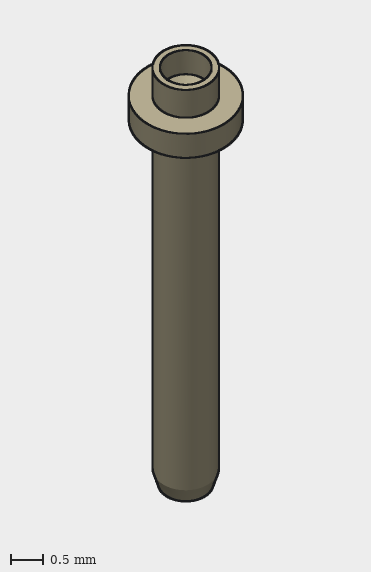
import cadquery as cq
import math

pin_length = 8.71
shaft_diameter = 1.04
shaft_radius = shaft_diameter / 2

flange_radius = 0.89
flange_thickness = 0.505
collar_height = 0.58
flange_top = pin_length - collar_height
flange_bottom = flange_top - flange_thickness

tip_radius = 0.435
tip_height = 0.305

hole_radius = 0.4
hole_depth = 0.505
drill_point_angle = 118.0
drill_point_height = hole_radius / math.tan(math.radians(drill_point_angle / 2))
hole_floor = pin_length - hole_depth


def revolve_profile(points):
    """Revolve a closed (radius, height) outline around the Z axis."""
    return cq.Workplane("XZ").polyline(points).close().revolve(360, (0, 0), (0, 1))


body = revolve_profile([
    (0, 0),
    (tip_radius, 0),
    (shaft_radius, tip_height),
    (shaft_radius, flange_bottom),
    (flange_radius, flange_bottom),
    (flange_radius, flange_top),
    (shaft_radius, flange_top),
    (shaft_radius, pin_length),
    (0, pin_length),
])

drilled_hole = revolve_profile([
    (0, hole_floor - drill_point_height),
    (hole_radius, hole_floor),
    (hole_radius, pin_length),
    (0, pin_length),
])

result = body.cut(drilled_hole)